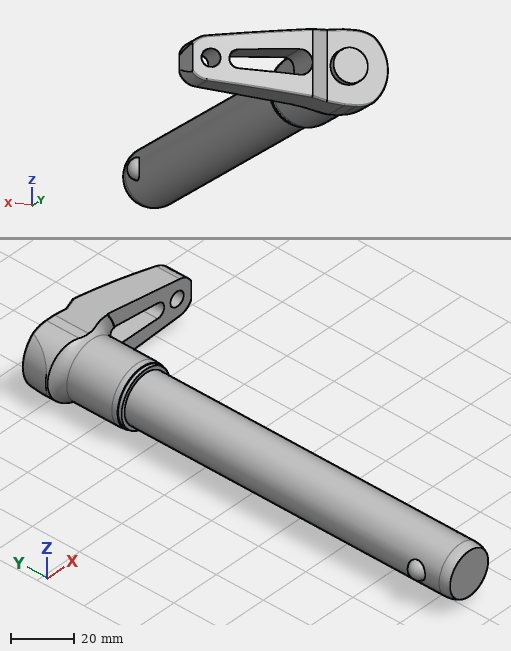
import cadquery as cq
import math


overall_length = 180.1
shank_radius = 9.9
tip_radius = 9.0
tip_length = 4.0
tip_bulge = 0.27
ball_radius = 3.8
ball_reach = 12.5
ball_height = 13.3

collar_radius = 11.9
collar_lip_radius = 11.7
collar_step_radius = 11.3
collar_end_height = 137.2
step_length = 1.5
lip_length = 2.3

button_radius = 5.8
button_length = 2.9
head_width = 24.7
head_half_width = head_width / 2
head_left = -15.1
head_flat_end = 1.0
head_top = overall_length - button_length
head_base = 165.7
flare_radius = 5.5
face_radius = 14.2
face_top_x = -13.7
face_base = 164.8
face_tilt = math.degrees(math.atan2(face_top_x - head_left, head_top - face_base))

arm_end = 52.2
arm_end_half_width = 6.7
arm_corner_radius = 6.5
arm_toe_height = 164.3
arm_base_start = 14.2
arm_base_height = 166.0
hump_foot_x = 6.8
hump_x = 12.6
hump_height = 179.5
arm_middle_x = 32.0
arm_middle_height = 177.5
arm_tip_x = 51.0
arm_tip_height = 174.0
toe_radius = 0.7
top_edge_radius = 0.5

slot_inner_x = 16.7
slot_inner_radius = 4.1
slot_outer_x = 36.4
slot_outer_radius = 3.0
lanyard_hole_x = 45.2
lanyard_hole_radius = 2.97

cut_margin = 9.0


def prism_plane(height):
    """Plane square to the pin axis, with its normal toward +Y."""
    return cq.Workplane(cq.Plane((0, height, 0), (1, 0, 0), (0, 1, 0)))


def make_pin():
    """Shank with rounded tip, stepped collar and concave flare, turned about Y."""
    step_top = collar_end_height + step_length
    lip_top = step_top + lip_length
    flare_start = head_base - flare_radius
    flare_outer = collar_radius + flare_radius
    arc_offset = flare_radius * (1 - math.sqrt(0.5))
    tip_middle = ((tip_radius + shank_radius) / 2 + tip_bulge, tip_length / 2)
    return (
        cq.Workplane("XY")
        .moveTo(0, 0)
        .lineTo(tip_radius, 0)
        .threePointArc(tip_middle, (shank_radius, tip_length))
        .lineTo(shank_radius, collar_end_height)
        .lineTo(collar_step_radius, collar_end_height)
        .lineTo(collar_step_radius, step_top)
        .lineTo(collar_lip_radius, step_top)
        .lineTo(collar_radius, lip_top)
        .lineTo(collar_radius, flare_start)
        .threePointArc(
            (collar_radius + arc_offset, head_base - arc_offset),
            (flare_outer, head_base),
        )
        .lineTo(flare_outer, arm_base_height)
        .lineTo(0, arm_base_height)
        .close()
        .revolve(360, (0, 0, 0), (0, 1, 0))
    )


def make_plan_prism():
    """Handle outline square to the pin axis: round head narrowing to the arm end."""
    center_x = head_left + head_half_width
    return (
        prism_plane(0)
        .moveTo(center_x, head_half_width)
        .lineTo(head_flat_end, head_half_width)
        .lineTo(arm_end, arm_end_half_width)
        .lineTo(arm_end, -arm_end_half_width)
        .lineTo(head_flat_end, -head_half_width)
        .lineTo(center_x, -head_half_width)
        .threePointArc((head_left, 0), (center_x, head_half_width))
        .close()
        .extrude(overall_length)
        .edges("|Y and >X")
        .fillet(arm_corner_radius)
    )


def make_handle_profile():
    """Side outline of the head and the arched lever arm, extruded across Z."""
    return (
        cq.Workplane("XY")
        .moveTo(head_left, head_base)
        .lineTo(head_left, head_top)
        .lineTo(hump_foot_x, head_top)
        .lineTo(hump_x, hump_height)
        .threePointArc((arm_middle_x, arm_middle_height), (arm_tip_x, arm_tip_height))
        .lineTo(arm_end, arm_toe_height)
        .lineTo(arm_base_start, arm_base_height)
        .lineTo(arm_base_start, head_base)
        .close()
        .extrude(head_half_width, both=True)
        .edges("|Z and >X")
        .fillet(toe_radius)
    )


def make_head_face_cutter():
    """Material outside the leaning round face on the back of the head."""
    center_x = face_top_x + face_radius
    depth = 2 * (head_top - head_base) + cut_margin
    width = -head_left + cut_margin
    back_block = (
        cq.Workplane("XY")
        .box(width, head_top - head_base + cut_margin, 2 * head_half_width + cut_margin)
        .translate((-width / 2, (head_top + head_base + cut_margin) / 2, 0))
    )
    leaning_cylinder = (
        prism_plane(head_top - depth)
        .center(center_x, 0)
        .circle(face_radius)
        .extrude(2 * depth)
        .rotate((center_x, head_top, 0), (center_x, head_top, 1), -face_tilt)
    )
    return back_block.cut(leaning_cylinder)


def make_handle(plan_prism):
    """Handle trimmed to its plan outline, with the far-side edges rounded over."""
    handle = make_handle_profile().intersect(plan_prism).cut(make_head_face_cutter())
    top_edges = cq.selectors.BoxSelector(
        (head_left, arm_tip_height, -head_width),
        (arm_tip_x, overall_length, head_width),
    )
    return handle.edges(top_edges).edges("not(|Z or |Y)").fillet(top_edge_radius)


def make_arm_openings():
    """Tapered slot with round ends, plus the round lanyard hole."""
    lean = (slot_inner_radius - slot_outer_radius) / (slot_outer_x - slot_inner_x)
    rise = math.sqrt(1 - lean**2)
    inner_x = slot_inner_x + slot_inner_radius * lean
    inner_z = slot_inner_radius * rise
    outer_x = slot_outer_x + slot_outer_radius * lean
    outer_z = slot_outer_radius * rise
    slot = (
        prism_plane(0)
        .moveTo(inner_x, inner_z)
        .lineTo(outer_x, outer_z)
        .threePointArc((slot_outer_x + slot_outer_radius, 0), (outer_x, -outer_z))
        .lineTo(inner_x, -inner_z)
        .threePointArc((slot_inner_x - slot_inner_radius, 0), (inner_x, inner_z))
        .close()
        .extrude(overall_length)
    )
    hole = (
        prism_plane(0)
        .center(lanyard_hole_x, 0)
        .circle(lanyard_hole_radius)
        .extrude(overall_length)
    )
    return slot.union(hole)


def make_ball(side):
    """Locking ball standing out of the shank on the given X side."""
    center_x = side * (ball_reach - ball_radius)
    return cq.Workplane("XY").sphere(ball_radius).translate((center_x, ball_height, 0))


button = prism_plane(head_base).circle(button_radius).extrude(overall_length - head_base)

plan_prism = make_plan_prism()
handle = make_handle(plan_prism)
result = make_pin().intersect(plan_prism).union(handle)
result = result.cut(make_arm_openings()).union(button)
for side in (-1, 1):
    result = result.union(make_ball(side))